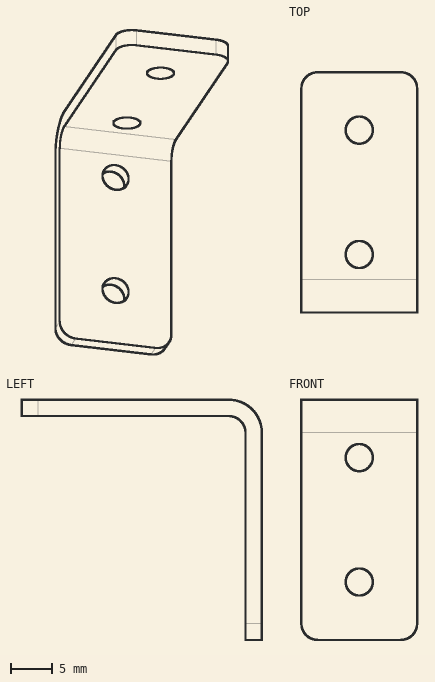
import cadquery as cq

width = 14.0
leg_length = 29.0
thickness = 2.0
inner_bend_radius = 2.0
corner_radius = 2.0
hole_diameter = 3.25
first_hole_offset = 7.0
hole_pitch = 15.0

outer_bend_radius = inner_bend_radius + thickness
hole_offsets = [first_hole_offset, first_hole_offset + hole_pitch]


def bent_strip():
    """L-shaped strip: one leg along +Y, one along -Z, outer faces at Y = 0 and Z = 0."""
    strip = (
        cq.Workplane("YZ")
        .moveTo(0, -leg_length)
        .lineTo(0, 0)
        .lineTo(leg_length, 0)
        .lineTo(leg_length, -thickness)
        .lineTo(thickness, -thickness)
        .lineTo(thickness, -leg_length)
        .close()
        .extrude(width / 2, both=True)
    )
    outer_edge = cq.selectors.NearestToPointSelector((0, 0, 0))
    inner_edge = cq.selectors.NearestToPointSelector((0, thickness, -thickness))
    strip = strip.edges("|X").edges(inner_edge).fillet(inner_bend_radius)
    return strip.edges("|X").edges(outer_edge).fillet(outer_bend_radius)


def round_free_ends(strip):
    """Round the two corners at the free end of each leg."""
    strip = strip.faces(">Y").edges("|Z").fillet(corner_radius)
    return strip.faces("<Z").edges("|Y").fillet(corner_radius)


def drill_leg(strip, drill_plane, hole_points):
    """Cut through-holes in one leg; drill_plane lies on that leg's outer face."""
    drills = (
        cq.Workplane(drill_plane)
        .pushPoints(hole_points)
        .circle(hole_diameter / 2)
        .extrude(-thickness)
    )
    return strip.cut(drills)


bracket = round_free_ends(bent_strip())
bracket = drill_leg(bracket, "XY", [(0, offset) for offset in hole_offsets])
bracket = drill_leg(bracket, "XZ", [(0, -offset) for offset in hole_offsets])

result = bracket